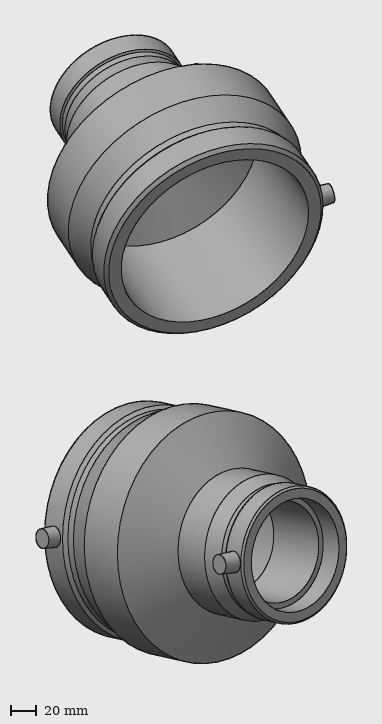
import cadquery as cq

length = 193.0
small_collar_end = 19.8
small_groove_start = 21.0
small_groove_end = 26.4
neck_start = 40.7
neck_end = 72.4
body_start = 96.5
body_end = 136.0
large_groove_start = 159.0
large_groove_end = 165.6
large_collar_start = 168.7

small_collar_diameter = 109.0
small_groove_diameter = 105.7
neck_diameter = 116.0
body_diameter = 199.0
large_groove_diameter = 181.4
large_collar_diameter = 187.1
small_chamfer = 1.6
large_chamfer = 2.9

small_socket_diameter = 90.0
small_socket_depth = 18.8
passage_diameter = 81.0
large_socket_diameter = 160.0

overall_width = 204.5
pin_base_diameter = 17.2
pin_tip_diameter = 15.5
pin_embed = 2.0
small_pin_x = 10.6
small_pin_tip = 68.7
large_pin_x = 179.5
large_pin_tip = overall_width - body_diameter / 2


def revolved(profile):
    """Solid of revolution about X from (station, diameter) pairs."""
    points = [(x, diameter / 2) for x, diameter in profile]
    axis_start = (points[0][0], 0)
    axis_end = (points[-1][0], 0)
    outline = cq.Workplane("XY").polyline([axis_start, *points, axis_end]).close()
    return outline.revolve(360, (0, 0, 0), (1, 0, 0))


def terminal_pin(x, collar_diameter, tip):
    """Tapered pin rooted just inside a collar."""
    root = collar_diameter / 2 - pin_embed
    cone = cq.Solid.makeCone(
        pin_base_diameter / 2,
        pin_tip_diameter / 2,
        tip - root,
        pnt=cq.Vector(x, root, 0),
        dir=cq.Vector(0, 1, 0),
    )
    return cq.Workplane(obj=cone)


outer = revolved([
    (0, small_collar_diameter - 2 * small_chamfer),
    (small_chamfer, small_collar_diameter),
    (small_collar_end, small_collar_diameter),
    (small_groove_start, small_groove_diameter),
    (small_groove_end, small_groove_diameter),
    (neck_start, neck_diameter),
    (neck_end, neck_diameter),
    (body_start, body_diameter),
    (body_end, body_diameter),
    (large_groove_start, large_groove_diameter),
    (large_groove_end, large_groove_diameter),
    (large_collar_start, large_collar_diameter),
    (length - large_chamfer, large_collar_diameter),
    (length, large_collar_diameter - 2 * large_chamfer),
])

bore = revolved([
    (0, small_socket_diameter),
    (small_socket_depth, small_socket_diameter),
    (small_socket_depth, passage_diameter),
    (neck_end, passage_diameter),
    (body_start, large_socket_diameter),
    (length, large_socket_diameter),
])

small_pin = terminal_pin(small_pin_x, small_collar_diameter, small_pin_tip)
large_pin = terminal_pin(large_pin_x, large_collar_diameter, large_pin_tip)

result = outer.union(small_pin).union(large_pin).cut(bore)